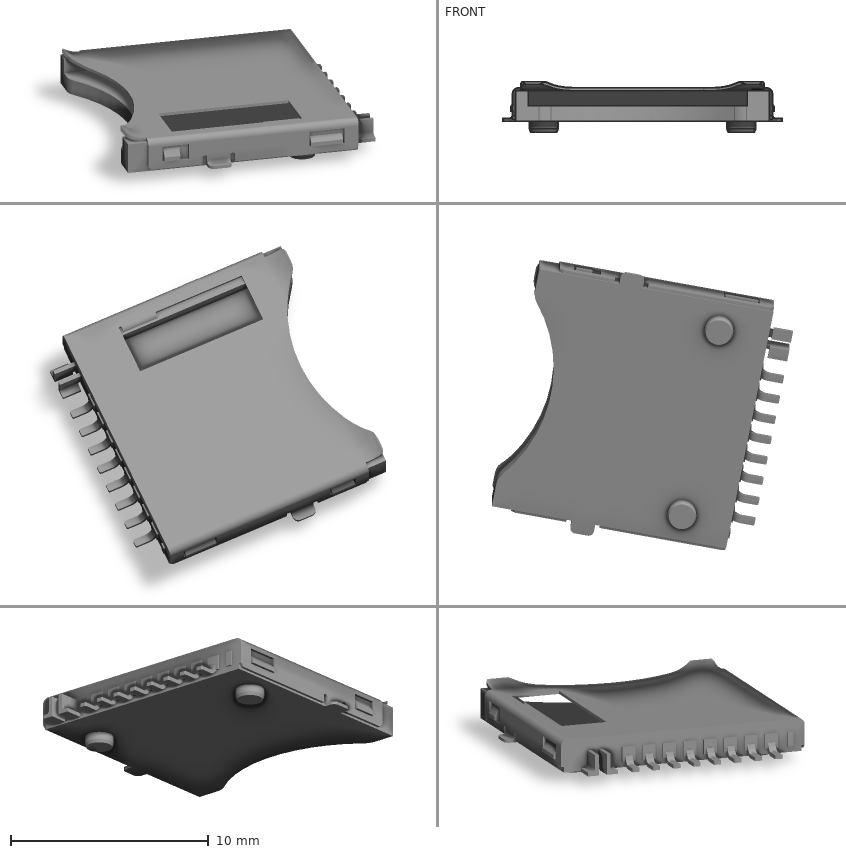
import cadquery as cq
import math


housing_half_width = 6.42
housing_front = -6.57
housing_rear = 5.47
housing_height = 1.55

slot_left = -5.77
slot_right = 5.3
slot_floor = 0.79
slot_rear = 4.8

notch_apex = -4.75
notch_radius = 7.47
notch_corner_radius = 0.96

sheet = 0.15
cover_half_width = housing_half_width + sheet
cover_top = housing_height + sheet
cover_front = -5.55
cover_bottom = 0.11
cover_bend_radius = 0.34
skirt_corner = 0.18

window_left = 3.1
window_right = 5.71
window_front = -4.07
window_rear = 2.75
spring_width = 0.28
spring_front = 0.7
spring_rear = 2.61
spring_bulge = 0.7

lip_half_width = 6.15
lip_front = -6.64
lip_rear = window_front
lip_bend_radius = 1.69
lip_bend_angle = math.radians(34.5)
lip_corner_radius = 0.31

latch_window_bottom = 0.48
latch_window_top = 1.3
latch_bottom = 0.52
latch_shoulder = 0.73
latch_tip = 6.65
rear_window = (2.89, 4.72)
rear_latch = (2.96, 4.64)
rear_latch_top = 1.0
front_window = (-4.82, -3.43)
front_latch_left = (-4.72, -3.5)
front_latch_right = (-4.72, -3.89)
front_latch_top = 1.13

foot_tip = 7.05
foot_center = -1.86
foot_length = 1.21
foot_corner_radius = 0.28
foot_bend_radius = 0.15
relief_width = 0.25
relief_top = 0.59
relief_top_radius = 0.11

post_x = 4.99
post_y = 2.93
post_diameter = 1.45
post_height = 0.55
post_chamfer_height = 0.17
post_chamfer_inset = 0.07

contact_count = 8
contact_pitch = 1.1
first_contact_x = -4.75
contact_width = 0.4
contact_tip_radius = 0.07
lead_thickness = 0.2
lead_end = 6.64
first_bend_y = 5.85
first_rise_angle = math.radians(45)
first_bend_radius = 0.2
second_bend_y = 5.67
second_rise_angle = math.radians(64)
embed = 0.07

pad_width = 0.7
pad_depth = 0.08
pad_bottom = 0.31
pad_top = 1.07
blank_pad_x = -5.8
blank_pad_width = 0.31

switch_plate = 0.21
switch_foot_width = 0.59
switch_foot_start = 5.64
switch_top = 1.07
switch_bend_radius = 0.18
left_switch_outer = 4.54
right_switch_outer = 4.96


def block(x_range, y_range, z_range):
    """Axis-aligned box between the given limits."""
    size = [high - low for low, high in (x_range, y_range, z_range)]
    corner = (x_range[0], y_range[0], z_range[0])
    return cq.Workplane("XY").box(*size, centered=False).translate(corner)


def extrude_along_y(profile, y_range):
    """Extrude a closed XZ profile between two Y positions."""
    return profile.extrude(y_range[0] - y_range[1]).translate((0, y_range[0], 0))


def both_sides(body):
    """The body together with its mirror image across X = 0."""
    return body.union(body.mirror("YZ"))


def notched_slab(half_width, y_range, z_range):
    """Slab with the rounded finger notch cut into its front edge."""
    front = y_range[0]
    notch_center = notch_apex - notch_radius
    corner_x = math.sqrt(notch_radius**2 - (front - notch_center) ** 2)
    notch = (
        cq.Workplane("XY")
        .workplane(offset=z_range[0])
        .center(0, notch_center)
        .circle(notch_radius)
        .extrude(z_range[1] - z_range[0])
    )
    slab = block((-half_width, half_width), y_range, z_range).cut(notch)
    for side in (-1, 1):
        corner = (side * corner_x, front, (z_range[0] + z_range[1]) / 2)
        edge = cq.selectors.NearestToPointSelector(corner)
        slab = slab.edges("|Z").edges(edge).fillet(notch_corner_radius)
    return slab


def make_housing():
    housing = notched_slab(housing_half_width, (housing_front, housing_rear), (0, housing_height))
    slot = block((slot_left, slot_right), (housing_front, slot_rear), (slot_floor, housing_height))
    return housing.cut(slot)


def make_posts():
    posts = (
        cq.Workplane("XY")
        .pushPoints([(-post_x, post_y), (post_x, post_y)])
        .circle(post_diameter / 2)
        .extrude(-post_height)
    )
    return posts.faces("<Z").chamfer(post_chamfer_height, post_chamfer_inset)


def make_lip():
    """Front part of the cover, curling upward and following the finger notch."""
    outer_radius = lip_bend_radius + sheet
    bend_start = lip_front + outer_radius * math.sin(lip_bend_angle)
    bend_axis = cover_top + lip_bend_radius

    def on_bend(radius, angle):
        return (bend_start - radius * math.sin(angle), bend_axis - radius * math.cos(angle))

    curl = (
        cq.Workplane("YZ")
        .moveTo(lip_rear, housing_height)
        .lineTo(bend_start, housing_height)
        .threePointArc(on_bend(outer_radius, lip_bend_angle / 2), on_bend(outer_radius, lip_bend_angle))
        .lineTo(*on_bend(lip_bend_radius, lip_bend_angle))
        .threePointArc(on_bend(lip_bend_radius, lip_bend_angle / 2), (bend_start, cover_top))
        .lineTo(lip_rear, cover_top)
        .close()
        .extrude(lip_half_width, both=True)
    )
    plan = notched_slab(lip_half_width, (lip_front, lip_rear), (0, bend_axis))
    outer_corners = plan.edges("|Z").edges("<Y").edges("<X or >X")
    return curl.intersect(outer_corners.fillet(lip_corner_radius))


def make_cover():
    """Folded cover: flat top, rounded side bends and two side skirts."""
    shell = block(
        (-cover_half_width, cover_half_width), (cover_front, housing_rear), (cover_bottom, cover_top)
    )
    shell = shell.edges("|Y and >Z").fillet(cover_bend_radius)
    shell = shell.edges("|X and <Z").chamfer(skirt_corner)
    inside = block(
        (-housing_half_width, housing_half_width), (cover_front, housing_rear), (0, housing_height)
    )
    notch_keep = notched_slab(cover_half_width, (lip_front, housing_rear), (0, cover_top))
    cover = shell.cut(inside).intersect(notch_keep).union(make_lip())
    window = block((window_left, window_right), (window_front, window_rear), (housing_height, cover_top))
    return cover.cut(window).cut(both_sides(skirt_openings()))


def skirt_openings():
    """Latch windows and foot relief slots of the +X skirt."""
    skirt = (housing_half_width, cover_half_width)
    openings = block(skirt, rear_window, (latch_window_bottom, latch_window_top))
    openings = openings.union(block(skirt, front_window, (latch_window_bottom, latch_window_top)))
    half_width = relief_width / 2
    relief_offset = (foot_length + relief_width) / 2
    for y in (foot_center - relief_offset, foot_center + relief_offset):
        relief = block(skirt, (y - half_width, y + half_width), (0, relief_top))
        openings = openings.union(relief.edges("|X and >Z").fillet(relief_top_radius))
    return openings


def latch(y_range, top):
    """Wedge on the +X side of the housing that snaps into a cover window."""
    profile = (
        cq.Workplane("XZ")
        .moveTo(housing_half_width - embed, latch_bottom)
        .lineTo(latch_tip, latch_bottom)
        .lineTo(latch_tip, latch_shoulder)
        .lineTo(housing_half_width, top)
        .lineTo(housing_half_width - embed, top)
        .close()
    )
    return extrude_along_y(profile, y_range)


def make_latches():
    left_front = latch(front_latch_left, front_latch_top).mirror("YZ")
    right_front = latch(front_latch_right, front_latch_top)
    return both_sides(latch(rear_latch, rear_latch_top)).union(left_front).union(right_front)


def make_feet():
    """Solder feet bent outward from the bottom of both skirts."""
    bend_top = sheet + foot_bend_radius
    bend_end = cover_half_width + foot_bend_radius
    bend_diagonal = foot_bend_radius * (1 - math.sqrt(0.5))
    profile = (
        cq.Workplane("XZ")
        .moveTo(housing_half_width, 0)
        .lineTo(foot_tip, 0)
        .lineTo(foot_tip, sheet)
        .lineTo(bend_end, sheet)
        .threePointArc(
            (cover_half_width + bend_diagonal, sheet + bend_diagonal), (cover_half_width, bend_top)
        )
        .lineTo(housing_half_width, bend_top)
        .close()
    )
    half_length = foot_length / 2
    foot = extrude_along_y(profile, (foot_center - half_length, foot_center + half_length))
    return both_sides(foot.edges("|Z and >X").fillet(foot_corner_radius))


def make_spring():
    """Curled spring edge along the right side of the cover window."""
    start_x = window_right - spring_width
    middle = (window_right - spring_bulge * spring_width, housing_height + spring_bulge * sheet)
    profile = (
        cq.Workplane("XZ")
        .moveTo(start_x, housing_height)
        .threePointArc(middle, (window_right, cover_top))
        .lineTo(window_right, housing_height)
        .close()
    )
    return extrude_along_y(profile, (spring_front, spring_rear))


def contact(x):
    """Flat solder tail that rises into the housing in two bends of growing steepness."""
    inner_end = housing_rear - embed
    second_bend_z = lead_thickness + (first_bend_y - second_bend_y) * math.tan(first_rise_angle)
    top_end_z = second_bend_z + (second_bend_y - inner_end) * math.tan(second_rise_angle)
    under_first_y = first_bend_y - lead_thickness * math.tan(first_rise_angle / 2)
    mitre_angle = (first_rise_angle + second_rise_angle) / 2
    mitre_length = lead_thickness / math.cos((second_rise_angle - first_rise_angle) / 2)
    under_second_y = second_bend_y - mitre_length * math.sin(mitre_angle)
    under_second_z = second_bend_z - mitre_length * math.cos(mitre_angle)
    under_end_z = under_second_z + (under_second_y - inner_end) * math.tan(second_rise_angle)
    tail = (
        cq.Workplane("YZ")
        .moveTo(lead_end, 0)
        .lineTo(under_first_y, 0)
        .lineTo(under_second_y, under_second_z)
        .lineTo(inner_end, under_end_z)
        .lineTo(inner_end, top_end_z)
        .lineTo(second_bend_y, second_bend_z)
        .lineTo(first_bend_y, lead_thickness)
        .lineTo(lead_end, lead_thickness)
        .close()
        .extrude(contact_width / 2, both=True)
    )
    inner_corner = cq.selectors.NearestToPointSelector((0, first_bend_y, lead_thickness))
    outer_corner = cq.selectors.NearestToPointSelector((0, under_first_y, 0))
    tail = tail.edges("|X").edges(inner_corner).fillet(first_bend_radius)
    tail = tail.edges("|X").edges(outer_corner).fillet(first_bend_radius + lead_thickness)
    return tail.edges("|Z and >Y").fillet(contact_tip_radius).translate((x, 0, 0))


def pad(x, width):
    """Shallow raised pad on the rear face of the housing."""
    y_range = (housing_rear - embed, housing_rear + pad_depth)
    return block((x - width / 2, x + width / 2), y_range, (pad_bottom, pad_top))


def make_contacts():
    contacts = pad(blank_pad_x, blank_pad_width)
    for index in range(contact_count):
        x = first_contact_x + index * contact_pitch
        contacts = contacts.union(contact(x)).union(pad(x, pad_width))
    return contacts


def switch_terminal():
    """Terminal with its blade face at X = 0 and its foot toward -X."""
    profile = (
        cq.Workplane("XZ")
        .lineTo(0, switch_top)
        .lineTo(-switch_plate, switch_top)
        .lineTo(-switch_plate, lead_thickness)
        .lineTo(-switch_foot_width, lead_thickness)
        .lineTo(-switch_foot_width, 0)
        .close()
    )
    terminal = extrude_along_y(profile, (switch_foot_start, lead_end))
    foot_middle = (switch_foot_start + lead_end) / 2
    corner = cq.selectors.NearestToPointSelector((-switch_plate, foot_middle, lead_thickness))
    inner_bend = terminal.edges("|Y").edges(corner)
    root = block((-switch_plate, 0), (housing_rear - embed, switch_foot_start), (pad_bottom, switch_top))
    return inner_bend.fillet(switch_bend_radius).union(root)


def make_switch_terminals():
    left = switch_terminal().translate((left_switch_outer, 0, 0))
    right = switch_terminal().mirror("YZ").translate((right_switch_outer, 0, 0))
    return left.union(right)


result = (
    make_housing()
    .union(make_cover())
    .union(make_latches())
    .union(make_posts())
    .union(make_feet())
    .union(make_spring())
    .union(make_contacts())
    .union(make_switch_terminals())
)